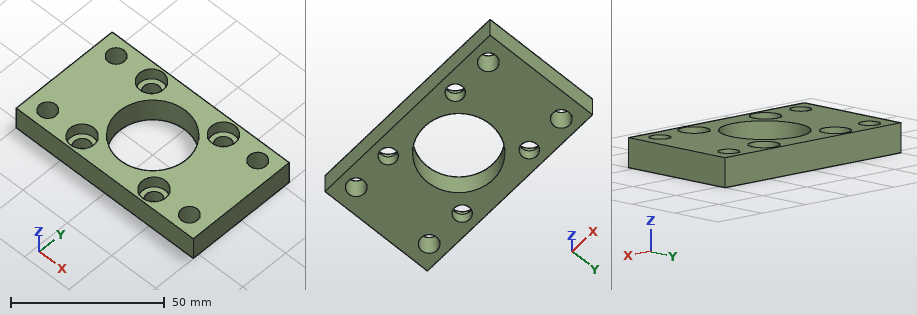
import cadquery as cq

length = 80.0
width = 45.0
thickness = 10.0

bore_diameter = 30.0

mount_spacing_x = 64.0
mount_spacing_y = 32.0
mount_diameter = 7.0

screw_spacing = 32.5
screw_diameter = 6.6
counterbore_diameter = 10.5
counterbore_depth = 5.0

plate = cq.Workplane("XY").box(length, width, thickness, centered=(True, True, False))

plate = plate.faces(">Z").workplane(origin=(0, 0, thickness)).hole(bore_diameter)

plate = (
    plate.faces(">Z")
    .workplane(origin=(0, 0, thickness))
    .rarray(mount_spacing_x, mount_spacing_y, 2, 2)
    .hole(mount_diameter)
)

result = (
    plate.faces(">Z")
    .workplane(origin=(0, 0, thickness))
    .rarray(screw_spacing, screw_spacing, 2, 2)
    .cboreHole(screw_diameter, counterbore_diameter, counterbore_depth)
)